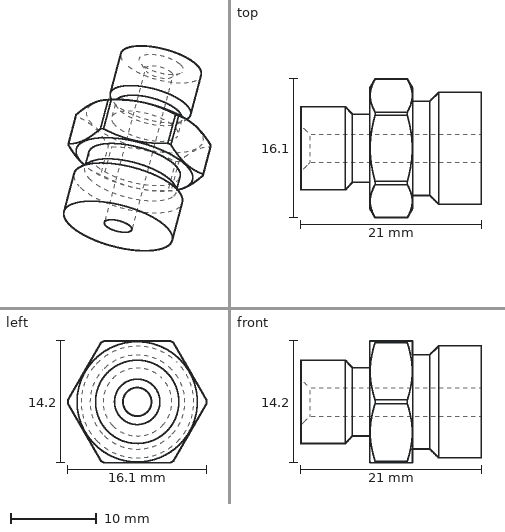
import cadquery as cq
import math

length = 21.0
small_end_length = 5.17
small_neck_start = 5.98
hex_start = 8.0
hex_width = 5.0
hex_end = hex_start + hex_width
large_neck_end = 15.0
large_end_start = 16.05

small_end_diameter = 9.7
small_neck_diameter = 7.95
large_neck_diameter = 11.0
large_end_diameter = 13.06
bore_diameter = 3.3
countersink_diameter = 5.3

across_flats = 14.2
corner_diameter = 16.15
chamfer_face_diameter = 14.0
chamfer_angle = 30.0

countersink_half_angle = 45.0


def revolve_about_x(points):
    """Revolve a closed (x, radius) outline about the X axis."""
    return cq.Workplane("XY").polyline(points).close().revolve(360, (0, 0, 0), (1, 0, 0))


def turned_body():
    return revolve_about_x([
        (0, 0),
        (0, small_end_diameter / 2),
        (small_end_length, small_end_diameter / 2),
        (small_neck_start, small_neck_diameter / 2),
        (hex_start, small_neck_diameter / 2),
        (hex_start, large_neck_diameter / 2),
        (large_neck_end, large_neck_diameter / 2),
        (large_end_start, large_end_diameter / 2),
        (length, large_end_diameter / 2),
        (length, 0),
    ])


def hexagon():
    """Hexagon with corners on Y, trimmed by a chamfered cylinder."""
    full_corner_diameter = across_flats / math.cos(math.radians(30))
    prism = (
        cq.Workplane("YZ", origin=(hex_start, 0, 0))
        .polygon(6, full_corner_diameter)
        .extrude(hex_width)
    )
    face_radius = chamfer_face_diameter / 2
    corner_radius = corner_diameter / 2
    chamfer_width = (corner_radius - face_radius) * math.tan(math.radians(chamfer_angle))
    envelope = revolve_about_x([
        (hex_start, 0),
        (hex_start, face_radius),
        (hex_start + chamfer_width, corner_radius),
        (hex_end - chamfer_width, corner_radius),
        (hex_end, face_radius),
        (hex_end, 0),
    ])
    return prism.intersect(envelope)


def countersunk_bore():
    """Through bore with a conical mouth at the small end."""
    bore_radius = bore_diameter / 2
    mouth_radius = countersink_diameter / 2
    depth = (mouth_radius - bore_radius) / math.tan(math.radians(countersink_half_angle))
    return revolve_about_x([
        (0, 0),
        (0, mouth_radius),
        (depth, bore_radius),
        (length, bore_radius),
        (length, 0),
    ])


result = turned_body().union(hexagon()).cut(countersunk_bore())